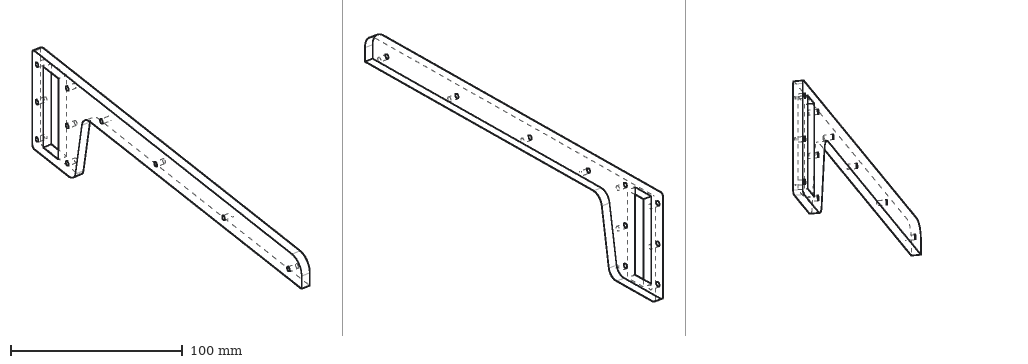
import cadquery as cq

length = 267.8
height = 70.0
thickness = 6.0
arm_height = 19.3
grip_width_bottom = 42.0
grip_width_at_arm = 50.5

left_corner_radius = 2.5
grip_toe_radius = 7.0
inner_corner_radius = 8.0
arm_tip_radius = 10.0

window_left = 11.0
window_width = 15.0
window_height = 57.3

hole_diameter = 3.0
grip_hole_columns = (4.8, 34.8)
grip_hole_pitch = 26.5
arm_hole_depth = 12.5
arm_hole_positions = (68.8, 122.7, 190.1, 254.7)

mid_height = height / 2
arm_bottom = height - arm_height


def round_corner(body, x, z, radius):
    """Fillet the through-thickness edge that lies at (x, z)."""
    edge = cq.selectors.NearestToPointSelector((x, thickness / 2, z))
    return body.edges("|Y").edges(edge).fillet(radius)


def make_plate():
    """Flat outline in XZ, extruded along +Y, with its corners rounded."""
    outline = [
        (0, 0),
        (grip_width_bottom, 0),
        (grip_width_at_arm, arm_bottom),
        (length, arm_bottom),
        (length, height),
        (0, height),
    ]
    plate = cq.Workplane("XZ").polyline(outline).close().extrude(-thickness)
    plate = round_corner(plate, 0, 0, left_corner_radius)
    plate = round_corner(plate, 0, height, left_corner_radius)
    plate = round_corner(plate, grip_width_bottom, 0, grip_toe_radius)
    plate = round_corner(plate, grip_width_at_arm, arm_bottom, inner_corner_radius)
    return round_corner(plate, length, height, arm_tip_radius)


def make_window():
    return (
        cq.Workplane("XZ")
        .center(window_left + window_width / 2, mid_height)
        .rect(window_width, window_height)
        .extrude(-thickness)
    )


def make_holes():
    """Two columns of three holes in the grip and one row along the arm."""
    centres = [
        (x, mid_height + row * grip_hole_pitch)
        for x in grip_hole_columns
        for row in (-1, 0, 1)
    ]
    centres += [(x, height - arm_hole_depth) for x in arm_hole_positions]
    return cq.Workplane("XZ").pushPoints(centres).circle(hole_diameter / 2).extrude(-thickness)


result = make_plate().cut(make_window()).cut(make_holes())